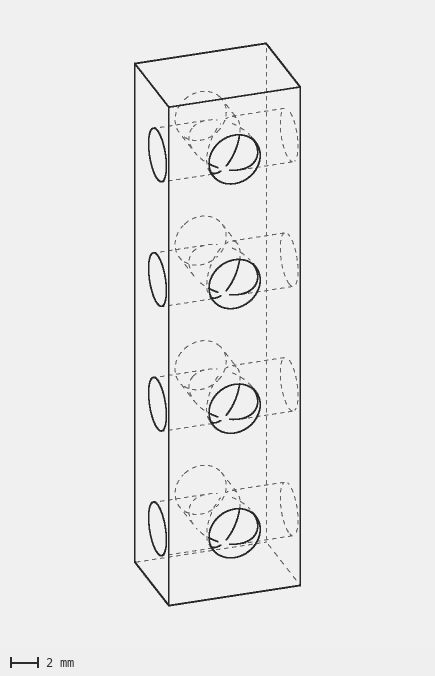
import cadquery as cq

width = 7.5
depth = 10.0
height = 40.0

hole_diameter = 3.9
hole_pitch = 10.0
hole_count = 4
hole_x = hole_pitch / 2
hole_y = depth / 2

hole_heights = [hole_pitch * (i + 0.5) for i in range(hole_count)]


def make_block():
    """Plain bar with one lower corner at the origin."""
    return cq.Workplane("XY").box(width, depth, height, centered=False)


def make_hole_along_x(z):
    """Cutter running through the full width at height z."""
    return cq.Workplane("YZ").center(hole_y, z).circle(hole_diameter / 2).extrude(width)


def make_hole_along_y(z):
    """Cutter running through the full depth at height z."""
    return cq.Workplane("XZ").center(hole_x, z).circle(hole_diameter / 2).extrude(-depth)


result = make_block()
for z in hole_heights:
    result = result.cut(make_hole_along_x(z))
    result = result.cut(make_hole_along_y(z))